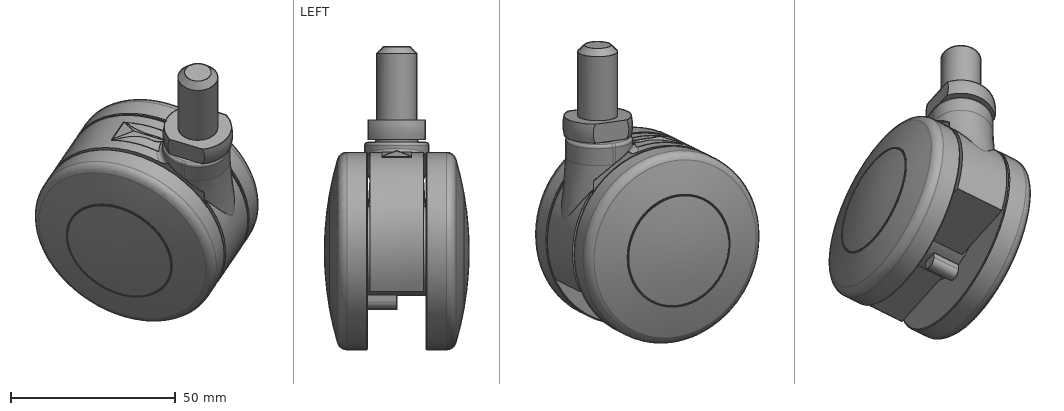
import cadquery as cq
import math


edge_margin = 0.1

wheel_radius = 30.0
wheel_inner_y = 8.9
wheel_outer_y = 22.0
wheel_rim_y = 17.3
tread_rounding = 3.0
inner_edge_chamfer = 0.3
cap_radius = 17.2
cap_groove_width = 0.4
cap_groove_depth = 0.4

housing_half_width = 8.1
housing_bottom_z = -12.3
hub_radius = 13.5

stem_x = 17.0
collar_radius = 9.75
collar_straight = 1.0
collar_front_center_x = stem_x - collar_straight
collar_top_z = 33.0
collar_top_rounding = 1.0
collar_base_fillet = 1.5
flare_top_z = 26.7
flare_bottom_z = 7.9
flare_run = 2.0
flare_middle_z = 18.4
flare_middle_run = 0.7
side_clearance_radius = 31.6
side_step_x = 22.8

pad_front_x = -9.7
pad_half_width = 4.4
pad_height = 0.1
ridge_step = 0.4
ridge_root = 1.4
ridge_start_x = -4.3
ridge_start_z = 30.5
ridge_end_x = 7.4
ridge_end_z = 30.4

lug_radius = 2.25
lug_bottom_z = -17.7

stem_radius = 6.1
stem_top_z = 62.0
stem_chamfer = 2.0
neck_radius = 6.4
nut_bottom_z = 33.9
nut_top_z = 39.8
nut_half_flats = 8.65
nut_end_radius = 10.2
nut_middle_radius = 10.6


def disc(radius, y_from, y_to):
    """A round disc on the axle between two Y positions."""
    return cq.Workplane("XZ", origin=(0, y_from, 0)).circle(radius).extrude(y_from - y_to)


def make_wheel(side):
    """A domed wheel; side is +1 or -1 along Y."""
    dome_drop = wheel_outer_y - wheel_rim_y
    dome_radius = (wheel_radius**2 + dome_drop**2) / (2 * dome_drop)

    def dome_y(radius):
        return wheel_outer_y - dome_radius + math.sqrt(dome_radius**2 - radius**2)

    wheel = (
        cq.Workplane("XY")
        .moveTo(0, wheel_inner_y)
        .lineTo(wheel_radius - inner_edge_chamfer, wheel_inner_y)
        .lineTo(wheel_radius, wheel_inner_y + inner_edge_chamfer)
        .lineTo(wheel_radius, wheel_rim_y)
        .threePointArc((wheel_radius / 2, dome_y(wheel_radius / 2)), (0, wheel_outer_y))
        .close()
        .revolve(360, (0, 0, 0), (0, 1, 0))
    )
    reach = 2 * wheel_radius
    rim_edge = cq.selectors.BoxSelector(
        (-reach, wheel_rim_y - edge_margin, -reach),
        (reach, wheel_rim_y + edge_margin, reach),
        boundingbox=True,
    )
    wheel = wheel.edges(rim_edge).fillet(tread_rounding)

    groove_radius = cap_radius + cap_groove_width
    groove_bottom = dome_y(groove_radius) - cap_groove_depth
    groove = disc(groove_radius, groove_bottom, wheel_outer_y).cut(
        disc(cap_radius, groove_bottom, wheel_outer_y)
    )
    wheel = wheel.cut(groove)
    return wheel if side > 0 else wheel.mirror("XZ")


def collar_outline(z, back_run=0):
    """The slot outline of the collar at height z, with its back end moved out by back_run."""
    straight = collar_straight + back_run
    center = (collar_front_center_x + straight / 2, 0, z)
    outline = cq.Workplane("XY", origin=center).slot2D(2 * collar_radius + straight, 2 * collar_radius)
    return outline.val()


def make_collar():
    """The column under the stem, with its back leaning outward and a fillet at its front foot."""
    upper = cq.Workplane(
        cq.Solid.extrudeLinear(collar_outline(flare_top_z), [], cq.Vector(0, 0, collar_top_z - flare_top_z))
    )
    upper = upper.faces(">Z").edges().fillet(collar_top_rounding)
    lower = cq.Solid.makeLoft(
        [
            collar_outline(flare_top_z),
            collar_outline(flare_middle_z, flare_middle_run),
            collar_outline(flare_bottom_z, flare_run),
        ]
    )
    column = upper.union(cq.Workplane(lower))

    wide_half = 2 * collar_radius
    blended = disc(wheel_radius, -wide_half, wide_half).union(column)
    foot_edge = cq.selectors.BoxSelector(
        (collar_front_center_x - collar_radius - edge_margin, -wide_half, 0),
        (collar_front_center_x + edge_margin, wide_half, wheel_radius),
        boundingbox=True,
    )
    blended = blended.edges(foot_edge).fillet(collar_base_fillet)
    front_reach = collar_radius + 2 * collar_base_fillet
    front_block = cq.Workplane("XY").box(
        front_reach, 2 * wide_half, collar_top_z, centered=(False, True, False)
    )
    front = blended.intersect(front_block.translate((collar_front_center_x - front_reach, 0, 0)))
    return column.union(front)


def make_side_clearance(side):
    """The space that the collar must leave free for one wheel."""
    outer_y = 2 * wheel_outer_y
    beside_housing = disc(side_clearance_radius, housing_half_width, outer_y)
    behind_step = cq.Workplane("XY").box(
        wheel_radius, outer_y, 2 * side_clearance_radius, centered=(False, False, True)
    )
    beside_housing = beside_housing.cut(behind_step.translate((side_step_x, 0, 0)))
    clearance = beside_housing.union(disc(side_clearance_radius, wheel_inner_y, outer_y))
    return clearance if side > 0 else clearance.mirror("XZ")


def make_pad():
    """A shallow raised strip in front of the collar."""
    strip = cq.Workplane("XY").box(
        stem_x - pad_front_x, 2 * pad_half_width, collar_top_z, centered=(False, True, False)
    )
    strip = strip.translate((pad_front_x, 0, 0))
    return disc(wheel_radius + pad_height, -pad_half_width, pad_half_width).intersect(strip)


def make_ridge():
    """A faceted ridge that narrows from the front edge of the pad to a point in the collar."""
    front_z = math.sqrt(wheel_radius**2 - pad_front_x**2)
    left_low = cq.Vector(pad_front_x, pad_half_width, front_z - ridge_root)
    right_low = cq.Vector(pad_front_x, -pad_half_width, front_z - ridge_root)
    left_top = cq.Vector(pad_front_x, pad_half_width, front_z + ridge_step)
    right_top = cq.Vector(pad_front_x, -pad_half_width, front_z + ridge_step)
    crest = cq.Vector(ridge_start_x, 0, ridge_start_z)
    tip = cq.Vector(ridge_end_x, 0, ridge_end_z)
    corner_sets = [
        (left_low, right_low, right_top, left_top),
        (left_top, right_top, crest),
        (left_top, crest, tip),
        (right_top, crest, tip),
        (left_low, left_top, tip),
        (right_low, right_top, tip),
        (left_low, right_low, tip),
    ]
    faces = [
        cq.Face.makeFromWires(cq.Wire.makePolygon(corners, close=True)) for corners in corner_sets
    ]
    return cq.Workplane(cq.Solid.makeSolid(cq.Shell.makeShell(faces)).fix())


def make_lug():
    """A round-ended stop lug that hangs from the hub on its +Y half."""
    center_z = lug_bottom_z + lug_radius
    round_end = disc(lug_radius, 0, wheel_inner_y).translate((0, 0, center_z))
    shank = cq.Workplane("XY").box(
        2 * lug_radius, wheel_inner_y, -center_z, centered=(True, False, False)
    )
    return round_end.union(shank.translate((0, 0, center_z)))


def make_housing():
    """The drum between the wheels with its hub, collar, stop lug, pad and ridge."""
    drum = disc(wheel_radius, -housing_half_width, housing_half_width)
    lower_block = cq.Workplane("XY").box(
        2 * wheel_radius, 2 * housing_half_width, wheel_radius, centered=(True, True, False)
    )
    drum = drum.cut(lower_block.translate((0, 0, housing_bottom_z - wheel_radius)))
    neck = make_collar()
    for side in (1, -1):
        neck = neck.cut(make_side_clearance(side))
    hub = disc(hub_radius, -wheel_inner_y, wheel_inner_y)
    return drum.union(neck).union(hub).union(make_lug()).union(make_pad()).union(make_ridge())


def make_stem():
    """A chamfered rod with a short neck and a barrel-shaped collar with two wrench flats."""
    rod = (
        cq.Workplane("XY", origin=(0, 0, nut_top_z))
        .circle(stem_radius)
        .extrude(stem_top_z - nut_top_z)
        .faces(">Z")
        .chamfer(stem_chamfer)
    )
    neck = cq.Workplane("XY", origin=(0, 0, collar_top_z)).circle(neck_radius).extrude(
        nut_bottom_z - collar_top_z
    )
    nut = (
        cq.Workplane("XZ")
        .moveTo(0, nut_bottom_z)
        .lineTo(nut_end_radius, nut_bottom_z)
        .threePointArc(
            (nut_middle_radius, (nut_bottom_z + nut_top_z) / 2),
            (nut_end_radius, nut_top_z),
        )
        .lineTo(0, nut_top_z)
        .close()
        .revolve(360, (0, 0, 0), (0, 1, 0))
    )
    flats = cq.Workplane("XY").box(
        3 * nut_middle_radius, 2 * nut_half_flats, stem_top_z, centered=(True, True, False)
    )
    return neck.union(nut.intersect(flats)).union(rod).translate((stem_x, 0, 0))


housing = make_housing()
stem = make_stem()
wheels = [make_wheel(side) for side in (1, -1)]

result = cq.Compound.makeCompound([housing.val(), stem.val(), *[wheel.val() for wheel in wheels]])